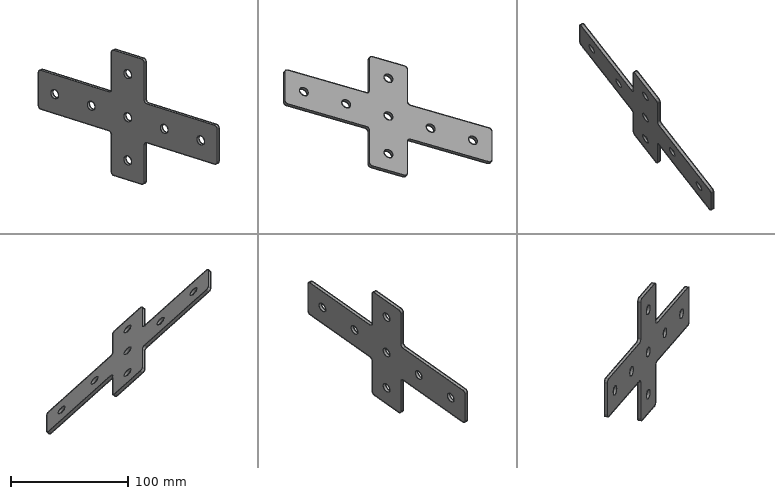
import cadquery as cq

length = 196.0
height = 116.0
thickness = 3.0
arm_width = 36.0
corner_radius = 3.0
hole_diameter = 8.2
hole_pitch = 40.0


def bar(size_x, size_z):
    """Flat bar centred on the origin, with its thickness along Y."""
    return cq.Workplane("XY").box(size_x, thickness, size_z)


cross = bar(length, arm_width).union(bar(arm_width, height))
cross = cross.edges("|Y").fillet(corner_radius)

hole_centres = [(step * hole_pitch, 0) for step in range(-2, 3)]
hole_centres += [(0, side * hole_pitch) for side in (-1, 1)]

result = (
    cross.faces("<Y")
    .workplane(centerOption="CenterOfBoundBox")
    .pushPoints(hole_centres)
    .hole(hole_diameter)
)